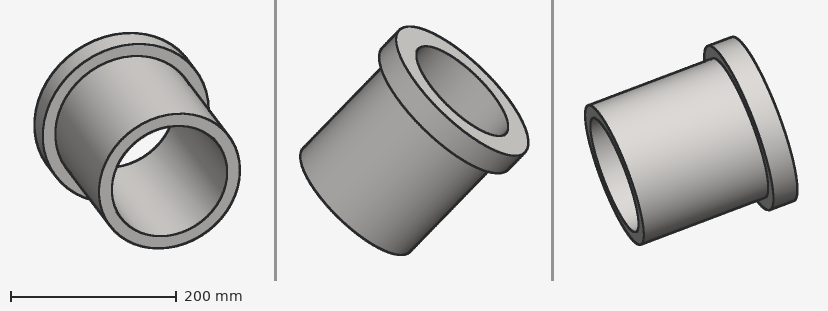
import cadquery as cq

total_length = 195.0
flange_diameter = 212.0
flange_thickness = 31.5
body_diameter = 180.0
bore_diameter = 147.1


def cylinder_along_x(diameter, length):
    """Solid cylinder starting at X = 0 and running toward +X."""
    return cq.Workplane("YZ").circle(diameter / 2).extrude(length)


flange = cylinder_along_x(flange_diameter, flange_thickness)
body = cylinder_along_x(body_diameter, total_length)
bore = cylinder_along_x(bore_diameter, total_length)

result = flange.union(body).cut(bore)